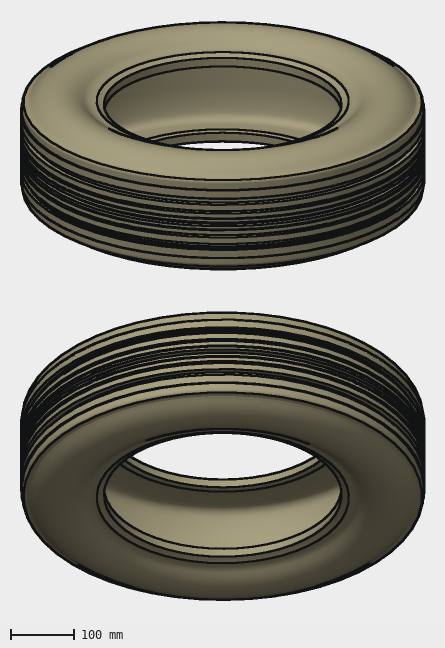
import cadquery as cq
import math

outer_radius = 319.0
width = 195.0
half_width = width / 2
bore_radius = 188.0

bulge_center_radius = 259.0
bulge_arc_radius = 60.5
bulge_outer_end = 302.5
bulge_inner_end = 220.0

rim_step_radius = 306.5
rim_step_height = 76.0
shoulder_foot_radius = 309.5
shoulder_foot_height = 75.0
shoulder_top_radius = 315.0
shoulder_top_height = 74.0
shoulder_radius = 317.5
shoulder_round_end = 68.0
tread_half_width = 58.0

bead_outer_radius = 199.0
bead_outer_height = 76.5
bead_lip_radius = 196.5
bead_lip_height = 75.5
bead_top_height = 71.5
bead_bottom_height = 57.0
bead_inner_radius = 194.0
bead_ledge_radius = 200.0
bead_ledge_height = 56.0

liner_radius = 297.0
liner_corner_radius = 294.0
liner_corner_height = 57.5
cavity_crest_radius = 274.5
cavity_crest_height = 77.0

groove_floor_radius = 309.5
center_groove_width = 6.5
inner_groove_width = 4.0
inner_groove_height = 20.5
outer_groove_width = 8.0
outer_groove_height = 37.5
outer_groove_step_width = 2.0
outer_groove_step_radius = 313.0
sipe_width = 1.0
sipe_height = 9.5
sipe_floor_radius = 316.0


def bulge_height(radius):
    """Height of the outer sidewall arc at the given radius."""
    offset = radius - bulge_center_radius
    return half_width - bulge_arc_radius + math.sqrt(bulge_arc_radius**2 - offset**2)


def ring(inner_radius, height, ring_width):
    """Cutting ring centred at a height and reaching past the tread."""
    ring_outer_radius = outer_radius + 6.5
    return (
        cq.Workplane("XY", origin=(0, 0, height - ring_width / 2))
        .circle(ring_outer_radius)
        .circle(inner_radius)
        .extrude(ring_width)
    )


def upper_half():
    """Tyre body above the middle plane, drawn as radius and height."""
    bulge_outer_height = bulge_height(bulge_outer_end)
    bulge_inner_height = bulge_height(bulge_inner_end)
    profile = (
        cq.Workplane("XZ")
        .moveTo(liner_radius, 0)
        .lineTo(outer_radius, 0)
        .lineTo(outer_radius, tread_half_width)
        .lineTo(shoulder_radius, tread_half_width)
        .lineTo(shoulder_radius, shoulder_round_end)
        .tangentArcPoint((shoulder_top_radius, shoulder_top_height), relative=False)
        .lineTo(shoulder_foot_radius, shoulder_foot_height)
        .lineTo(rim_step_radius, rim_step_height)
        .lineTo(bulge_outer_end, bulge_outer_height)
        .threePointArc((bulge_center_radius, half_width), (bulge_inner_end, bulge_inner_height))
        .tangentArcPoint((bead_outer_radius, bead_outer_height), relative=False)
        .lineTo(bead_lip_radius, bead_lip_height)
        .tangentArcPoint((bore_radius, bead_top_height), relative=False)
        .lineTo(bore_radius, bead_bottom_height)
        .lineTo(bead_inner_radius, bead_ledge_height)
        .lineTo(bead_ledge_radius, bead_ledge_height)
        .spline(
            [(cavity_crest_radius, cavity_crest_height)],
            tangents=[(0.3, 1), (1, 0)],
            includeCurrent=True,
        )
        .spline(
            [(liner_corner_radius, liner_corner_height), (liner_radius, 0)],
            tangents=[(1, 0), (0, -1)],
            includeCurrent=True,
        )
        .close()
    )
    return profile.revolve(360, (0, 0, 0), (0, 1, 0))


def tread_grooves():
    """All circumferential grooves and narrow sipes."""
    cutters = ring(groove_floor_radius, 0, center_groove_width)
    step_offset = (outer_groove_width + outer_groove_step_width) / 2
    for side in (-1, 1):
        cutters = cutters.union(ring(groove_floor_radius, side * inner_groove_height, inner_groove_width))
        cutters = cutters.union(ring(groove_floor_radius, side * outer_groove_height, outer_groove_width))
        step_height = side * (outer_groove_height + step_offset)
        cutters = cutters.union(ring(outer_groove_step_radius, step_height, outer_groove_step_width))
        cutters = cutters.union(ring(sipe_floor_radius, side * sipe_height, sipe_width))
    return cutters


top_half = upper_half()
body = top_half.union(top_half.mirror("XY"))
result = body.cut(tread_grooves())